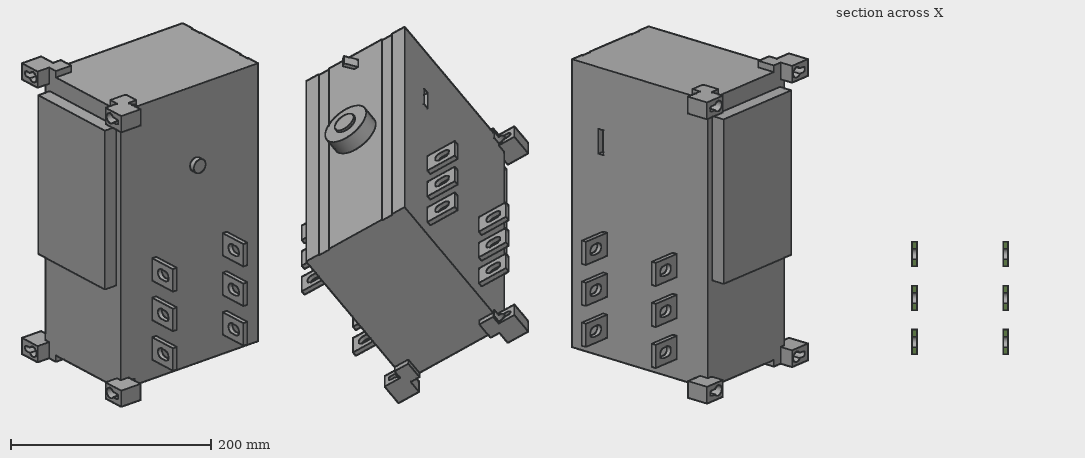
import cadquery as cq

OVERALL_HEIGHT = 323.0
OVERALL_DEPTH = 212.0
TERMINAL_SPAN = 185.0

BODY_WIDTH = 119.2
BODY_FRONT = 15.0
BODY_BACK = 192.2
EAR_RISE = 7.0

COVER_WIDTH = 105.3
COVER_HEIGHT = 176.5
COVER_BOTTOM = 120.8

FOOT_SPAN = 157.0
FOOT_WIDTH = 25.0
FOOT_HEIGHT = 18.0
FOOT_DEPTH = 25.0
EAR_INNER = 43.0
EAR_BACK = 35.0
KEYHOLE_DIAMETER = 11.0
KEYHOLE_SLOT = 5.8
KEYHOLE_CENTRE = 61.0
KEYHOLE_SLOT_END = 70.7
KEYHOLE_DEPTH = 32.5

TAB_HEIGHT = 25.0
TAB_THICKNESS = 5.2
TAB_DEPTHS = (57.8, 149.0)
TAB_LOWEST = 41.0
TAB_PITCH = 44.0
TAB_COUNT = 3
TAB_SLOT_CENTRE = 77.2
TAB_SLOT_LENGTH = 16.8
TAB_SLOT_HEIGHT = 11.0

KNOB_DIAMETER = 49.5
KNOB_BACK = 209.3
KNOB_Z = 176.7
CAP_DIAMETER = 23.0

LEVER_THICKNESS = 4.0
LEVER_LENGTH = 13.2
LEVER_ROOT = 5.0
LEVER_HEIGHT = 12.5
LEVER_X = -1.0
LEVER_Z = 297.0
LEVER_ANGLE = -38.0

GROOVE_WIDTH = 12.0
GROOVE_DEPTH = 1.0
GROOVE_CENTRE = 38.0

BUTTON_DIAMETER = 15.2
BUTTON_LENGTH = 6.0
BUTTON_Y = 111.8
BUTTON_Z = 228.5

POCKET_WIDTH = 6.5
POCKET_HEIGHT = 26.5
POCKET_DEPTH = 6.5
POCKET_Y = 154.5
POCKET_Z = 236.5

SIDES = (-1, 1)
ENDS = (-1, 1)
MID_HEIGHT = OVERALL_HEIGHT / 2


def block(x_range, y_range, z_range):
    """Box between pairs of opposite limits, given in either order."""
    limits = [sorted(pair) for pair in (x_range, y_range, z_range)]
    sizes = [high - low for low, high in limits]
    corner = tuple(low for low, high in limits)
    return cq.Workplane("XY").box(*sizes, centered=False).translate(corner)


def facing_back(y, x, z):
    """Workplane at depth y looking along +Y, with its origin at (x, z)."""
    return cq.Workplane(cq.Plane((x, y, z), (1, 0, 0), (0, 1, 0)))


def housing():
    half = BODY_WIDTH / 2
    body = block((-half, half), (BODY_FRONT, BODY_BACK), (EAR_RISE, OVERALL_HEIGHT - EAR_RISE))
    for side in SIDES:
        centre = side * GROOVE_CENTRE
        groove = block(
            (centre - GROOVE_WIDTH / 2, centre + GROOVE_WIDTH / 2),
            (BODY_BACK - GROOVE_DEPTH, BODY_BACK),
            (0, OVERALL_HEIGHT),
        )
        body = body.cut(groove)
    return body


def cover():
    half = COVER_WIDTH / 2
    return block((-half, half), (0, BODY_FRONT), (COVER_BOTTOM, COVER_BOTTOM + COVER_HEIGHT))


def mounting_foot(side, end):
    """Foot block and the ear joining it to the housing, at one corner."""
    outer_z = MID_HEIGHT + end * MID_HEIGHT
    z_range = (outer_z, outer_z - end * FOOT_HEIGHT)
    outer_x = side * FOOT_SPAN / 2
    foot = block((outer_x, outer_x - side * FOOT_WIDTH), (0, FOOT_DEPTH), z_range)
    ear = block((side * EAR_INNER, side * BODY_WIDTH / 2), (BODY_FRONT, EAR_BACK), z_range)
    return foot.union(ear)


def keyhole(side, end):
    """Keyhole cutter, its narrow slot pointing outward."""
    z = MID_HEIGHT + end * (MID_HEIGHT - FOOT_HEIGHT / 2)
    head = facing_back(0, side * KEYHOLE_CENTRE, z).circle(KEYHOLE_DIAMETER / 2).extrude(KEYHOLE_DEPTH)
    reach = KEYHOLE_SLOT_END - KEYHOLE_CENTRE
    middle = (KEYHOLE_SLOT_END + KEYHOLE_CENTRE) / 2
    slot = facing_back(0, side * middle, z).slot2D(reach + KEYHOLE_SLOT, KEYHOLE_SLOT).extrude(FOOT_DEPTH)
    return head.union(slot)


def terminal_tab(side, y, z):
    half = TAB_THICKNESS / 2
    tab = block(
        (side * BODY_WIDTH / 2, side * TERMINAL_SPAN / 2),
        (y - half, y + half),
        (z - TAB_HEIGHT / 2, z + TAB_HEIGHT / 2),
    )
    slot = facing_back(y - half, side * TAB_SLOT_CENTRE, z).slot2D(TAB_SLOT_LENGTH, TAB_SLOT_HEIGHT)
    return tab.cut(slot.extrude(TAB_THICKNESS))


def knob():
    grip = facing_back(BODY_BACK, 0, KNOB_Z).circle(KNOB_DIAMETER / 2).extrude(KNOB_BACK - BODY_BACK)
    cap = facing_back(KNOB_BACK, 0, KNOB_Z).circle(CAP_DIAMETER / 2).extrude(OVERALL_DEPTH - KNOB_BACK)
    return grip.union(cap)


def lever():
    """Flat plate rooted in the back face and turned about a vertical axis."""
    plate = block(
        (-LEVER_THICKNESS / 2, LEVER_THICKNESS / 2),
        (-LEVER_ROOT, LEVER_LENGTH),
        (LEVER_Z - LEVER_HEIGHT / 2, LEVER_Z + LEVER_HEIGHT / 2),
    )
    return plate.rotate((0, 0, 0), (0, 0, 1), LEVER_ANGLE).translate((LEVER_X, BODY_BACK, 0))


def button():
    base = cq.Workplane("YZ", origin=(BODY_WIDTH / 2, BUTTON_Y, BUTTON_Z))
    return base.circle(BUTTON_DIAMETER / 2).extrude(BUTTON_LENGTH)


def side_pocket():
    wall = -BODY_WIDTH / 2
    return block(
        (wall, wall + POCKET_DEPTH),
        (POCKET_Y - POCKET_WIDTH / 2, POCKET_Y + POCKET_WIDTH / 2),
        (POCKET_Z - POCKET_HEIGHT / 2, POCKET_Z + POCKET_HEIGHT / 2),
    )


result = housing().union(cover()).union(knob()).union(lever()).union(button())

for side in SIDES:
    for end in ENDS:
        result = result.union(mounting_foot(side, end)).cut(keyhole(side, end))
    for y in TAB_DEPTHS:
        for row in range(TAB_COUNT):
            result = result.union(terminal_tab(side, y, TAB_LOWEST + row * TAB_PITCH))

result = result.cut(side_pocket())